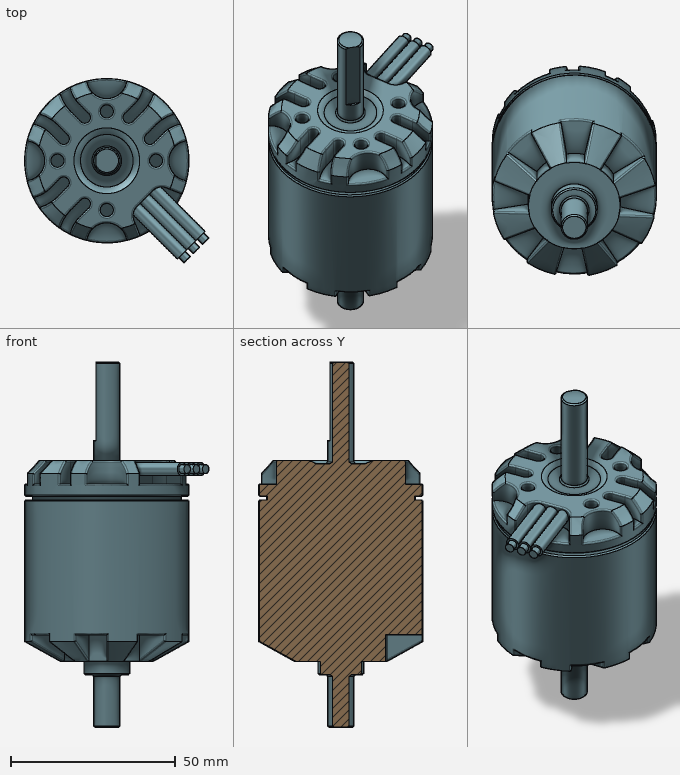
import cadquery as cq
import math


total_height = 111.0
body_radius = 25.0
rim_chamfer = 0.4
edge_round = 0.5

shaft_radius = 4.0
shaft_chamfer = 0.4
flat_length = 23.9
flat_offset = 3.3

bearing_ring = 0.5

collar_radius = 7.0
collar_bottom = 16.0
collar_chamfer = 0.4

bell_bottom = 20.0
bell_cone_top = 26.1
bell_top = 69.2
bell_base_radius = 14.0
facing_stock = 2.2
window_ceiling = 28.1
window_count = 8
window_pitch = 360 / window_count
window_angle = window_pitch / 2

neck_radius = 22.6
cap_bottom = 70.2
cap_top = 81.1
cap_bevel = 4.0
cap_floor = 73.9
recess_mouth_radius = 10.0
recess_floor_radius = 8.0
recess_depth = 1.0
screw_hole_radius = 2.0
screw_circle_radius = 15.0
scallop_radius = 6.1
cap_seam_angle = 20.0

vent_width = 3.4
vent_offset = 4.5
vent_start = 14.0
vent_bend_start = 18.3
vent_bend_radius = 11.1
vent_bend_angle = 45.0

outlet_angle = -45.0
outlet_start = 16.3
outlet_half_width = 6.0
outlet_flare = 23.0
outlet_corner_radius = 3.9
outlet_end = body_radius + 2.2

wire_radius = 2.0
wire_core_radius = 1.39
wire_overlap = 0.02
wire_pitch = 2 * wire_radius - wire_overlap
wire_start = outlet_start - 1.7
wire_end = 36.3
wire_core_end = 38.5
wire_height = 78.5

vent_diagonals = (45, 135, 225)
quarter_turns = (0, 90, 180, 270)


def turned(shape, angle):
    return shape.rotate((0, 0, 0), (0, 0, 1), angle)


def solid_of_revolution(outline, seam_angle):
    """Revolve an XZ outline about Z, placing the surface seam at an angle clear of the cuts."""
    return turned(outline.revolve(360, (0, 0), (0, 1)), seam_angle)


def cut_with_rounded_mouths(blank, cutters):
    """Cut every cutter from the blank and round the edges where it breaks the surface."""
    body = blank
    for cutter in cutters:
        body = body.cut(cutter)
    skin = blank.val().Shells()[0]
    cutter_skins = [cutter.val().Shells()[0] for cutter in cutters]
    touching = 0.001

    def is_mouth(edge):
        middle = cq.Vertex.makeVertex(*edge.positionAt(0.5).toTuple())
        if skin.distance(middle) > touching:
            return False
        return any(wall.distance(middle) < touching for wall in cutter_skins)

    mouth_edges = [edge for edge in body.edges().vals() if is_mouth(edge)]
    return body.newObject(mouth_edges).fillet(edge_round)


def cap_plan():
    """Sketch plane at the pocket floor of the cap."""
    return cq.Workplane("XY", origin=(0, 0, cap_floor))


cap_cut_height = cap_top - cap_floor + 1.1


def vent_slot():
    """One bent slot on the +Y side of the +X direction."""
    half_width = vent_width / 2
    bend_centre_y = vent_offset + vent_bend_radius
    inner_bend = vent_bend_radius - half_width
    outer_bend = vent_bend_radius + half_width

    def on_bend(radius, angle):
        turn = math.radians(angle)
        return vent_bend_start + radius * math.sin(turn), bend_centre_y - radius * math.cos(turn)

    return (
        cap_plan()
        .moveTo(vent_start, vent_offset - half_width)
        .lineTo(vent_bend_start, vent_offset - half_width)
        .threePointArc(on_bend(outer_bend, vent_bend_angle / 2), on_bend(outer_bend, vent_bend_angle))
        .lineTo(*on_bend(inner_bend, vent_bend_angle))
        .threePointArc(on_bend(inner_bend, vent_bend_angle / 2), (vent_bend_start, vent_offset + half_width))
        .lineTo(vent_start, vent_offset + half_width)
        .threePointArc((vent_start - half_width, vent_offset), (vent_start, vent_offset - half_width))
        .close()
        .extrude(cap_cut_height)
    )


def cable_outlet():
    end_half_width = outlet_half_width + (outlet_end - outlet_start) * math.tan(math.radians(outlet_flare))
    outlet = (
        cap_plan()
        .polyline([
            (outlet_start, -outlet_half_width),
            (outlet_end, -end_half_width),
            (outlet_end, end_half_width),
            (outlet_start, outlet_half_width),
        ])
        .close()
        .extrude(cap_cut_height)
        .edges("|Z and <X")
        .fillet(outlet_corner_radius)
    )
    return turned(outlet, outlet_angle)


def make_cap():
    outline = (
        cq.Workplane("XZ")
        .moveTo(0, cap_bottom)
        .lineTo(body_radius - rim_chamfer, cap_bottom)
        .lineTo(body_radius, cap_bottom + rim_chamfer)
        .lineTo(body_radius, cap_top - cap_bevel)
        .lineTo(body_radius - cap_bevel, cap_top)
        .lineTo(recess_mouth_radius, cap_top)
        .lineTo(recess_floor_radius, cap_top - recess_depth)
        .lineTo(0, cap_top - recess_depth)
        .close()
    )
    blank = solid_of_revolution(outline, cap_seam_angle)
    screw_hole = cap_plan().center(screw_circle_radius, 0).circle(screw_hole_radius).extrude(cap_cut_height)
    scallop = cap_plan().center(body_radius, 0).circle(scallop_radius).extrude(cap_cut_height)
    left_vent = vent_slot()
    right_vent = left_vent.mirror("XZ")

    cutters = [cable_outlet()]
    for angle in quarter_turns:
        cutters += [turned(screw_hole, angle), turned(scallop, angle)]
    for angle in vent_diagonals:
        cutters += [turned(left_vent, angle), turned(right_vent, angle)]
    return cut_with_rounded_mouths(blank, cutters)


def bell_window(start_angle):
    """Ring sector that opens through the cylinder, the cone and the bottom of the bell."""
    reach = body_radius + 2.2
    return turned(
        cq.Workplane("XZ", origin=(0, 0, bell_bottom - facing_stock))
        .moveTo(bell_base_radius, 0)
        .rect(reach - bell_base_radius, window_ceiling - bell_bottom + facing_stock, centered=False)
        .revolve(window_angle, (0, 0), (0, 1)),
        start_angle,
    )


def make_bell():
    cone_slope = (body_radius - bell_base_radius) / (bell_cone_top - bell_bottom)
    outline = (
        cq.Workplane("XZ")
        .moveTo(0, bell_bottom - facing_stock)
        .lineTo(bell_base_radius - facing_stock * cone_slope, bell_bottom - facing_stock)
        .lineTo(body_radius, bell_cone_top)
        .lineTo(body_radius, bell_top - rim_chamfer)
        .lineTo(body_radius - rim_chamfer, bell_top)
        .lineTo(0, bell_top)
        .close()
    )
    blank = solid_of_revolution(outline, window_angle / 2)
    windows = [bell_window((i + 0.5) * window_pitch) for i in range(window_count)]
    stock = cq.Workplane("XY", origin=(0, 0, bell_bottom)).circle(body_radius).extrude(-facing_stock)
    return cut_with_rounded_mouths(blank, windows).cut(stock)


def make_neck():
    return (
        cq.Workplane("XY", origin=(0, 0, bell_top))
        .circle(neck_radius)
        .extrude(cap_bottom - bell_top)
    )


def make_collar():
    return (
        cq.Workplane("XY", origin=(0, 0, collar_bottom))
        .circle(collar_radius)
        .extrude(bell_bottom - collar_bottom)
        .faces("<Z")
        .chamfer(collar_chamfer)
    )


def make_shaft():
    shaft = (
        cq.Workplane("XY")
        .circle(shaft_radius)
        .extrude(total_height)
        .faces("<Z or >Z")
        .chamfer(shaft_chamfer)
    )
    flat = (
        cq.Workplane("XY", origin=(-flat_offset - shaft_radius, 0, total_height - flat_length))
        .box(2 * shaft_radius, 2 * shaft_radius, flat_length, centered=(True, True, False))
    )
    return shaft.cut(flat)


def make_bearing_ring(seat_height, direction):
    """Conical ring around the shaft, rising up (1) or down (-1) from its seat."""
    return (
        cq.Workplane("XZ", origin=(0, 0, seat_height))
        .polyline([(0, 0), (shaft_radius + bearing_ring, 0), (shaft_radius, direction * bearing_ring)])
        .lineTo(0, direction * bearing_ring)
        .close()
        .revolve(360, (0, 0), (0, 1))
    )


def make_wire(offset):
    axis_start = cq.Workplane("YZ", origin=(wire_start, offset, wire_height))
    jacket = axis_start.circle(wire_radius).extrude(wire_end - wire_start)
    core = axis_start.circle(wire_core_radius).extrude(wire_core_end - wire_start)
    return turned(jacket.union(core), outlet_angle)


result = (
    make_shaft()
    .union(make_collar())
    .union(make_bell())
    .union(make_neck())
    .union(make_cap())
    .union(make_bearing_ring(collar_bottom, -1))
    .union(make_bearing_ring(cap_top - recess_depth, 1))
)
for position in (-1, 0, 1):
    result = result.union(make_wire(position * wire_pitch))